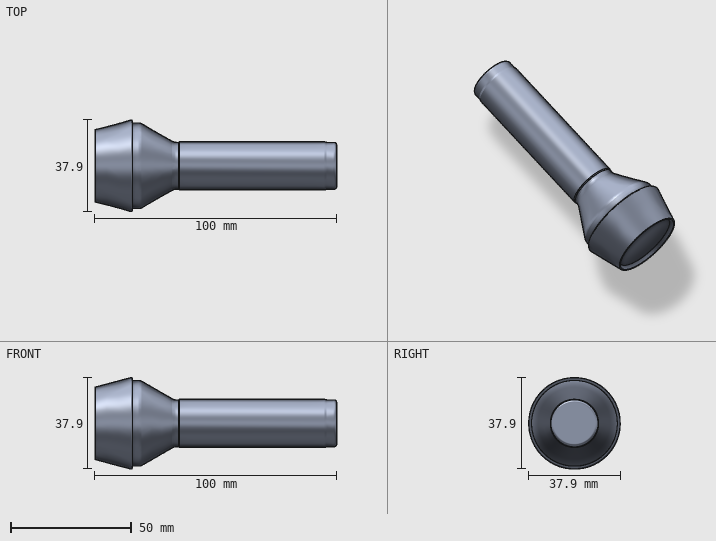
import cadquery as cq
import math

total_length = 100.0

cap_length = 15.4
cap_front_radius = 15.0
cap_taper_angle = 15.0
cap_rear_round = 0.5

recess_depth = 1.5
bore_rim_radius = 14.4
bore_taper_angle = 30.0

head_radius = 35.5 / 2
head_cylinder_end = 18.1
head_round = 2.5
neck_cone_angle = 30.0
neck_round = 3.0
relief_radius = 19.5 / 2
shank_radius = 20.0 / 2
shank_start = 35.0
shank_end = 95.0
front_step_length = 0.5
rear_step_length = 0.9
tip_round = 1.2

cap_rear_radius = cap_front_radius + cap_length * math.tan(math.radians(cap_taper_angle))
spigot_front_radius = bore_rim_radius - recess_depth * math.tan(math.radians(bore_taper_angle))
spigot_rear_radius = bore_rim_radius - cap_length * math.tan(math.radians(bore_taper_angle))
cone_start = head_cylinder_end + head_round * math.tan(math.radians(neck_cone_angle / 2))
cone_length = (head_radius - relief_radius) / math.tan(math.radians(neck_cone_angle))
cone_end = cone_start + cone_length


def revolve_profile(points):
    """Revolve a closed (x, radius) outline about the X axis."""
    return cq.Workplane("XZ").polyline(points).close().revolve(360, (0, 0, 0), (1, 0, 0))


def circle_edge(body, x, radius):
    """Select the circular edge at the given place along X."""
    reach = 0.01
    corner = (x - reach, -radius - reach, -radius - reach)
    opposite = (x + reach, radius + reach, radius + reach)
    return body.edges(cq.selectors.BoxSelector(corner, opposite, boundingbox=False)).edges(
        cq.selectors.RadiusNthSelector(-1)
    )


def make_cap():
    """Ring with a tapered outside, a rounded rear edge and a tapered bore."""
    cap = revolve_profile([
        (0, bore_rim_radius),
        (0, cap_front_radius),
        (cap_length, cap_rear_radius),
        (cap_length, spigot_rear_radius),
    ])
    return circle_edge(cap, cap_length, cap_rear_radius).fillet(cap_rear_round)


def make_stud():
    """Spigot behind the recess, head, conical neck and shank, with rounded transitions."""
    stud = revolve_profile([
        (recess_depth, 0),
        (recess_depth, spigot_front_radius),
        (cap_length, spigot_rear_radius),
        (cap_length, head_radius),
        (cone_start, head_radius),
        (cone_end, relief_radius),
        (shank_start - front_step_length, relief_radius),
        (shank_start, shank_radius),
        (shank_end, shank_radius),
        (shank_end + rear_step_length, relief_radius),
        (total_length, relief_radius),
        (total_length, 0),
    ])
    stud = circle_edge(stud, cone_start, head_radius).fillet(head_round)
    stud = circle_edge(stud, cone_end, relief_radius).fillet(neck_round)
    return circle_edge(stud, total_length, relief_radius).fillet(tip_round)


cap = make_cap()
stud = make_stud()
result = cq.Compound.makeCompound([cap.val(), stud.val()])